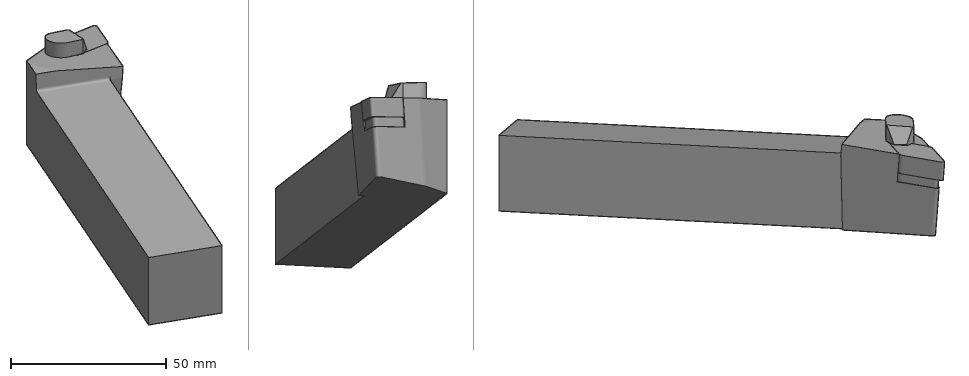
import cadquery as cq
import math

length = 149.3
shank_size = 25.0
head_height = 31.0
head_end_x = 34.2
step_foot_x = 35.0
step_fillet = 1.0
corner_cut_x = 24.5
flank_blend_radius = 6.7
flank_corner_x = 13.5

rake_slope = 0.1
level_line_x = 27.5

tip_x = -0.64
tip_y = 32.0
insert_angle = 55.0
lead_angle = 3.0
insert_side = 15.5
insert_thickness = 6.3
nose_radius = 0.7
side_corner_radius = 2.2

shim_thickness = 3.1
shim_setback = 0.82
shim_corner_radius = 3.0
flank_setback = 0.6
head_nose_radius = 1.0

clamp_diameter = 9.0
clamp_x = 19.5
clamp_y = 12.7
clamp_turn = 16.0
clamp_rise = 5.4
clamp_shoulder = 6.3
clamp_reach = 9.4
clamp_nose_width = 4.2
nose_base_z = 28.0

edge_setback = flank_setback / math.sin(math.radians(insert_angle))
shim_edge_setback = shim_setback / math.sin(math.radians(insert_angle))

beyond = 89.6


def rake_height(x, y):
    return head_height - rake_slope * (level_line_x - x + y)


def rake_workplane(depth=0.0, rise=0.0):
    """Workplane along the rake plane, with its origin at the sharp insert tip."""
    plane = cq.Plane(
        origin=(tip_x, tip_y, rake_height(tip_x, tip_y) + rise),
        xDir=(1, 0, rake_slope),
        normal=(-rake_slope, rake_slope, 1),
    )
    return cq.Workplane(plane).workplane(offset=-depth)


def from_tip(along_back, along_flank):
    """Local point reached from the insert tip along its back edge and its flank edge."""
    back_turn = math.radians(lead_angle)
    flank_turn = math.radians(lead_angle + insert_angle)
    x = along_back * math.cos(back_turn) + along_flank * math.cos(flank_turn)
    y = -along_back * math.sin(back_turn) - along_flank * math.sin(flank_turn)
    return x, y


def round_edge(prism, local_point, radius):
    """Round the prism edge that runs square to the rake plane at a local point."""
    on_edge = rake_workplane().plane.toWorldCoords((*local_point, 0))
    upright = cq.Vector(-rake_slope, rake_slope, 1)
    edges = prism.edges(cq.selectors.ParallelDirSelector(upright)).vals()
    nearest = min(edges, key=lambda edge: (edge.Center() - on_edge).cross(upright).Length)
    return prism.newObject([nearest]).fillet(radius)


def rhombus(depth, thickness, setback=0.0):
    """Insert-shaped prism; the setback moves in only the back and flank sides."""
    corners = [
        from_tip(setback, setback),
        from_tip(insert_side, setback),
        from_tip(insert_side, insert_side),
        from_tip(setback, insert_side),
    ]
    return rake_workplane(depth).polyline(corners).close().extrude(-thickness)


def rounded_rhombus(depth, thickness, tip_radius, side_radius, setback=0.0):
    body = rhombus(depth, thickness, setback)
    body = round_edge(body, from_tip(setback, setback), tip_radius)
    body = round_edge(body, from_tip(insert_side, insert_side), nose_radius)
    body = round_edge(body, from_tip(insert_side, setback), side_radius)
    return round_edge(body, from_tip(setback, insert_side), side_radius)


def make_insert():
    return rounded_rhombus(0, insert_thickness, nose_radius, side_corner_radius)


def make_head():
    """Prism square to the rake plane, trimmed by the upright front faces and level faces."""
    tip = from_tip(edge_setback, edge_setback)
    back = from_tip(beyond, edge_setback)
    flank = from_tip(edge_setback, beyond)
    head = rake_workplane().polyline([tip, back, flank]).close().extrude(-beyond)
    head = round_edge(head, tip, head_nose_radius)
    limits = (
        cq.Workplane("XY")
        .polyline([(corner_cut_x, 0), (beyond, 0), (beyond, beyond), (corner_cut_x - beyond, beyond)])
        .close()
        .extrude(head_height)
    )
    end_profile = (
        cq.Workplane("XZ")
        .polyline([
            (-beyond, 0),
            (step_foot_x, 0),
            (step_foot_x, shank_size),
            (head_end_x, head_height),
            (-beyond, head_height),
        ])
        .close()
        .extrude(-beyond)
    )
    head = head.intersect(limits).intersect(end_profile)
    corner_point = (flank_corner_x, corner_cut_x - flank_corner_x, head_height / 2)
    return head.edges(cq.selectors.NearestToPointSelector(corner_point)).fillet(flank_blend_radius)


def make_shank():
    start = cq.Workplane("XY").workplane(origin=(corner_cut_x, 0, 0))
    return start.box(length - corner_cut_x, shank_size, shank_size, centered=False)


def make_clamp():
    """Upright finger with a round heel, a tapered nose and a top parallel to the rake plane."""
    radius = clamp_diameter / 2
    half_nose = clamp_nose_width / 2
    finger = (
        cq.Workplane("XY")
        .moveTo(radius, 0)
        .lineTo(radius, clamp_shoulder)
        .lineTo(half_nose, clamp_reach)
        .lineTo(-half_nose, clamp_reach)
        .lineTo(-radius, clamp_shoulder)
        .lineTo(-radius, 0)
        .threePointArc((0, -radius), (radius, 0))
        .close()
        .extrude(beyond)
    )
    base = rake_height(clamp_x, clamp_y)
    nose_slope = (
        cq.Workplane("YZ")
        .polyline([
            (clamp_reach, nose_base_z),
            (clamp_shoulder, base + clamp_rise),
            (-radius, beyond),
            (-radius, 0),
            (clamp_reach, 0),
        ])
        .close()
        .extrude(radius, both=True)
    )
    finger = finger.intersect(nose_slope)
    finger = finger.rotate((0, 0, 0), (0, 0, 1), clamp_turn).translate((clamp_x, clamp_y, 0))
    under_top = rake_workplane(rise=clamp_rise).rect(2 * beyond, 2 * beyond).extrude(-beyond)
    below = rake_workplane().rect(2 * beyond, 2 * beyond).extrude(-beyond)
    return finger.intersect(under_top).cut(below)


def make_holder():
    holder = make_head().union(make_shank())
    step_corner = cq.selectors.NearestToPointSelector((step_foot_x, shank_size / 2, shank_size))
    holder = holder.edges(step_corner).fillet(step_fillet)
    holder = holder.cut(rhombus(0, insert_thickness + shim_thickness))
    shim_seat = rounded_rhombus(
        insert_thickness, shim_thickness, head_nose_radius, shim_corner_radius, shim_edge_setback
    )
    holder = holder.union(shim_seat)
    return holder.union(make_clamp())


insert = make_insert()
holder = make_holder().cut(insert)
result = cq.Compound.makeCompound([holder.val(), insert.val()])